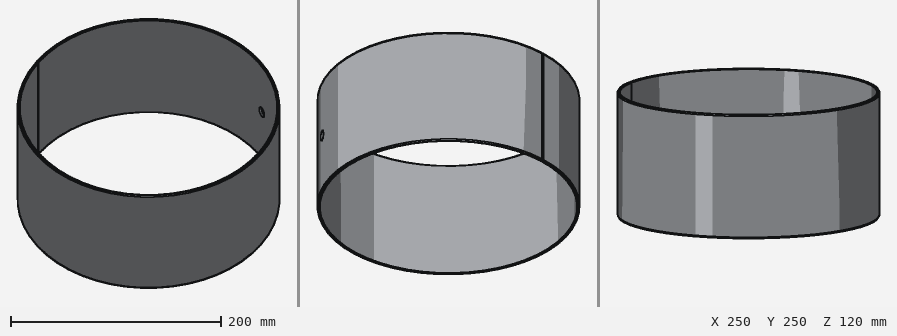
import cadquery as cq

outer_diameter = 250.0
height = 120.0
wall = 2.5

chamfer_depth = 0.8
outer_chamfer_height = 1.5
inner_chamfer_height = 0.8

slit_width = 2.0

hole_diameter = 10.0
hole_angle = 59.0

outer_radius = outer_diameter / 2


def ring():
    """Cylindrical wall with the outer and inner edges of both rims chamfered."""
    inner_radius = outer_radius - wall
    rim_outer_radius = outer_radius - chamfer_depth
    rim_inner_radius = inner_radius + chamfer_depth
    top = height / 2
    outer_shoulder = top - outer_chamfer_height
    inner_shoulder = top - inner_chamfer_height
    profile = [
        (inner_radius, -inner_shoulder),
        (rim_inner_radius, -top),
        (rim_outer_radius, -top),
        (outer_radius, -outer_shoulder),
        (outer_radius, outer_shoulder),
        (rim_outer_radius, top),
        (rim_inner_radius, top),
        (inner_radius, inner_shoulder),
    ]
    section = cq.Workplane("XZ").polyline(profile).close()
    return section.revolve(360, (0, 0, 0), (0, 1, 0))


def slit():
    """Full-height cutter that opens the ring on its -X side."""
    return cq.Workplane("XY").box(
        outer_diameter, slit_width, height, centered=(True, False, True)
    ).translate((-outer_radius, 0, 0))


def radial_hole():
    """Cutter running from the axis outward through one side of the wall."""
    cutter = cq.Workplane("YZ").circle(hole_diameter / 2).extrude(outer_diameter)
    return cutter.rotate((0, 0, 0), (0, 0, 1), hole_angle)


result = ring().cut(slit()).cut(radial_hole())